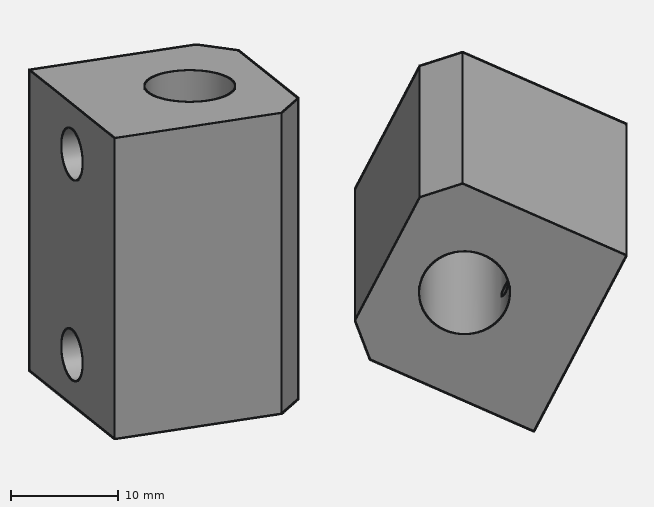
import cadquery as cq
import math

height = 30.0
width = height * 2 / 3
edge_chamfer = 3.0

bore_diameter = 8.5
bore_from_front = 12.0

hole_diameter = 5.0
hole_spacing = width
hole_straight_depth = 6.75
drill_point_angle = 118.0

front_y = -width / 2


def make_block():
    """Square block with the two vertical back edges chamfered."""
    block = cq.Workplane("XY").box(width, width, height)
    return block.faces(">Y").edges("|Z").chamfer(edge_chamfer)


def make_bore():
    """Cylinder running the full height of the block."""
    bore = cq.Workplane("XY").circle(bore_diameter / 2).extrude(height / 2, both=True)
    return bore.translate((0, front_y + bore_from_front, 0))


def make_drilled_hole(center_z):
    """Blind hole along +Y from the front face, with a conical drill point."""
    radius = hole_diameter / 2
    tip_length = radius / math.tan(math.radians(drill_point_angle / 2))
    tip_y = front_y + hole_straight_depth + tip_length
    profile = (
        cq.Workplane("XY")
        .moveTo(0, front_y)
        .lineTo(radius, front_y)
        .lineTo(radius, front_y + hole_straight_depth)
        .lineTo(0, tip_y)
        .close()
    )
    return profile.revolve(360, (0, 0), (0, 1)).translate((0, 0, center_z))


result = make_block().cut(make_bore())
for side in (-1, 1):
    result = result.cut(make_drilled_hole(side * hole_spacing / 2))